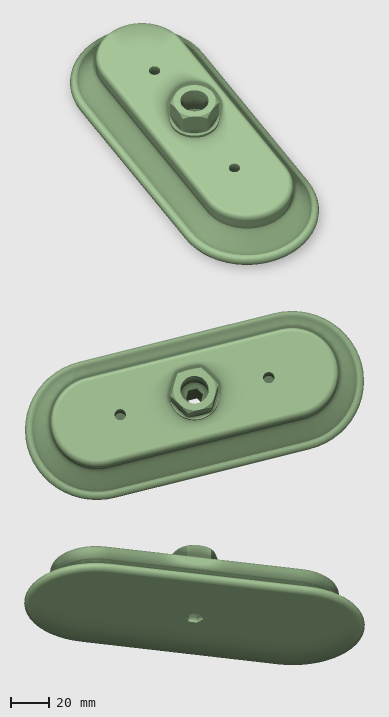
import cadquery as cq
import math

LENGTH = 180.0
WIDTH = 75.0
RIM_HEIGHT = 5.0
RIM_LEDGE_INSET = 3.8
BLOCK_INSET = 13.5
SKIRT_TOP = 15.0
BODY_TOP = 23.5
BLOCK_FILLET = 2.5

COLLAR_DIAMETER = 26.0
COLLAR_HEIGHT = 1.6
TOTAL_HEIGHT = 38.0
NUT_CORNER_DIAMETER = 25.5
NUT_FACE_DIAMETER = 22.1
NUT_TOP_BEVEL = 1.8
NUT_BOTTOM_BEVEL = 1.5

BORE_DIAMETER = 14.8
DRILL_POINT_ANGLE = 140.0
PASSAGE_CORNER_DIAMETER = 9.2
PIN_HOLE_DIAMETER = 6.0
PIN_HOLE_SPACING = 80.0

STRAIGHT_LENGTH = LENGTH - WIDTH
NUT_BOTTOM = BODY_TOP + COLLAR_HEIGHT
BORE_END = BODY_TOP
DRILL_POINT_DEPTH = BORE_DIAMETER / 2 / math.tan(math.radians(DRILL_POINT_ANGLE / 2))
PIN_HOLE_DEPTH = BODY_TOP - SKIRT_TOP


def half_profile(plane):
    """Cross-section from the centre plane outward, in (distance outward, height)."""
    outer = WIDTH / 2
    rim_radius = RIM_HEIGHT / 2
    block = outer - BLOCK_INSET
    return (
        cq.Workplane(plane)
        .moveTo(0, 0)
        .lineTo(outer - rim_radius, 0)
        .threePointArc((outer, rim_radius), (outer - rim_radius, RIM_HEIGHT))
        .lineTo(outer - RIM_LEDGE_INSET, RIM_HEIGHT)
        .lineTo(block, SKIRT_TOP)
        .lineTo(block, BODY_TOP - BLOCK_FILLET)
        .radiusArc((block - BLOCK_FILLET, BODY_TOP), -BLOCK_FILLET)
        .lineTo(0, BODY_TOP)
        .close()
    )


def make_cup():
    """Straight middle swept along X, closed by a revolved end on each side."""
    round_end = half_profile("XZ").revolve(360, (0, 0, 0), (0, 1, 0))
    half_middle = half_profile("YZ").extrude(STRAIGHT_LENGTH / 2, both=True)
    cup = half_middle.union(half_middle.mirror("XZ"))
    for side in (-1, 1):
        cup = cup.union(round_end.translate((side * STRAIGHT_LENGTH / 2, 0, 0)))
    return cup


def make_fitting():
    """Round collar carrying a hexagon whose corners are turned off at both ends."""
    collar = (
        cq.Workplane("XY")
        .workplane(offset=BODY_TOP)
        .circle(COLLAR_DIAMETER / 2)
        .extrude(COLLAR_HEIGHT)
    )
    hexagon = (
        cq.Workplane("XY")
        .workplane(offset=NUT_BOTTOM)
        .polygon(6, NUT_CORNER_DIAMETER)
        .extrude(TOTAL_HEIGHT - NUT_BOTTOM)
    )
    corner = NUT_CORNER_DIAMETER / 2
    face = NUT_FACE_DIAMETER / 2
    turned_shape = (
        cq.Workplane("XZ")
        .moveTo(0, NUT_BOTTOM)
        .lineTo(face, NUT_BOTTOM)
        .lineTo(corner, NUT_BOTTOM + NUT_BOTTOM_BEVEL)
        .lineTo(corner, TOTAL_HEIGHT - NUT_TOP_BEVEL)
        .lineTo(face, TOTAL_HEIGHT)
        .lineTo(0, TOTAL_HEIGHT)
        .close()
        .revolve(360, (0, 0, 0), (0, 1, 0))
    )
    return collar.union(hexagon.intersect(turned_shape))


def cut_holes(body):
    """Bore with a drill-point end, hexagonal passage to the underside and two blind holes."""
    bore = (
        cq.Workplane("XZ")
        .moveTo(0, BORE_END - DRILL_POINT_DEPTH)
        .lineTo(BORE_DIAMETER / 2, BORE_END)
        .lineTo(BORE_DIAMETER / 2, TOTAL_HEIGHT)
        .lineTo(0, TOTAL_HEIGHT)
        .close()
        .revolve(360, (0, 0, 0), (0, 1, 0))
    )
    passage = cq.Workplane("XY").polygon(6, PASSAGE_CORNER_DIAMETER).extrude(TOTAL_HEIGHT)
    pin_holes = (
        cq.Workplane("XY")
        .workplane(offset=BODY_TOP - PIN_HOLE_DEPTH)
        .rarray(PIN_HOLE_SPACING, 1.8, 2, 1)
        .circle(PIN_HOLE_DIAMETER / 2)
        .extrude(PIN_HOLE_DEPTH)
    )
    return body.cut(bore).cut(passage).cut(pin_holes)


result = cut_holes(make_cup().union(make_fitting()))